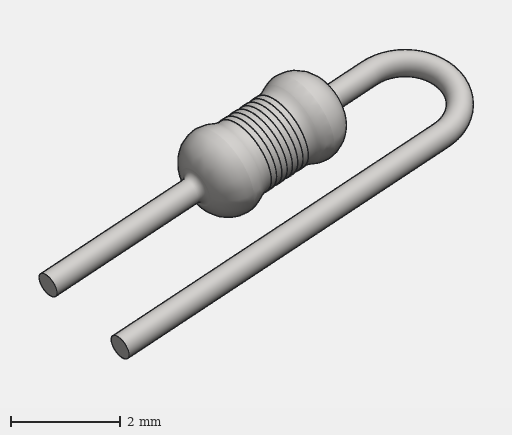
import cadquery as cq
import math

wire_radius = 0.5 / 2
lead_pitch = 2.0
bend_radius = lead_pitch / 2
overall_length = 9.05
bend_start = overall_length - bend_radius - wire_radius

body_centre = 5.2
bulge_radius = 1.8 / 2
bulge_offset = 0.975
groove_radius = 1.53 / 2
band_radius = 1.55 / 2
band_count = 4
bands_half_length = 0.45
collar_radius = 0.15
collar_rim_radius = wire_radius + collar_radius
collar_offset = 1.75
rim_offset = collar_offset - collar_radius

band_width = 2 * bands_half_length / (2 * band_count - 1)

cap_length = rim_offset - bulge_offset
cap_drop = bulge_radius - collar_rim_radius
cap_arc_radius = (cap_length**2 + cap_drop**2) / (2 * cap_drop)

neck_length = bulge_offset - bands_half_length
neck_drop = bulge_radius - groove_radius
neck_arc_radius = (neck_length**2 + neck_drop**2) / (4 * neck_drop)
inflection_offset = bulge_offset - neck_length / 2
inflection_radius = bulge_radius - neck_drop / 2


def mid_arc(centre, radius, start, end):
    """Point halfway along the short arc from start to end."""
    along = (start[0] + end[0]) / 2 - centre[0]
    across = (start[1] + end[1]) / 2 - centre[1]
    reach = radius / math.hypot(along, across)
    return (centre[0] + along * reach, centre[1] + across * reach)


def make_body():
    """Dumbbell body with a collar at each end, without the bands."""
    collar_end = (wire_radius, collar_offset)
    rim = (collar_rim_radius, rim_offset)
    crest = (bulge_radius, bulge_offset)
    inflection = (inflection_radius, inflection_offset)
    barrel_end = (groove_radius, bands_half_length)

    collar_centre = (collar_rim_radius, collar_offset)
    cap_centre = (bulge_radius - cap_arc_radius, bulge_offset)
    shoulder_centre = (bulge_radius - neck_arc_radius, bulge_offset)
    neck_centre = (groove_radius + neck_arc_radius, bands_half_length)

    half_profile = (
        cq.Workplane("XY")
        .moveTo(0, 0)
        .lineTo(groove_radius, 0)
        .lineTo(*barrel_end)
        .threePointArc(mid_arc(neck_centre, neck_arc_radius, barrel_end, inflection), inflection)
        .threePointArc(mid_arc(shoulder_centre, neck_arc_radius, inflection, crest), crest)
        .threePointArc(mid_arc(cap_centre, cap_arc_radius, crest, rim), rim)
        .threePointArc(mid_arc(collar_centre, collar_radius, rim, collar_end), collar_end)
        .lineTo(0, collar_offset)
        .close()
    )
    half_body = half_profile.revolve(360, (0, 0), (0, 1))
    body = half_body.union(half_body.mirror("XZ"))
    return body.translate((0, body_centre, 0))


def make_band(index):
    """One slightly raised colour band on the barrel."""
    band_start = body_centre - bands_half_length + 2 * index * band_width
    return (
        cq.Workplane("XZ", origin=(0, band_start, 0))
        .circle(band_radius)
        .extrude(-band_width)
    )


def make_wire():
    """Round wire: straight lead, half-circle bend, straight return lead."""
    path = (
        cq.Workplane("XY")
        .lineTo(0, bend_start)
        .threePointArc((bend_radius, bend_start + bend_radius), (lead_pitch, bend_start))
        .lineTo(lead_pitch, 0)
    )
    return cq.Workplane("XZ").circle(wire_radius).sweep(path)


result = make_wire().union(make_body())
for band_index in range(band_count):
    result = result.union(make_band(band_index))